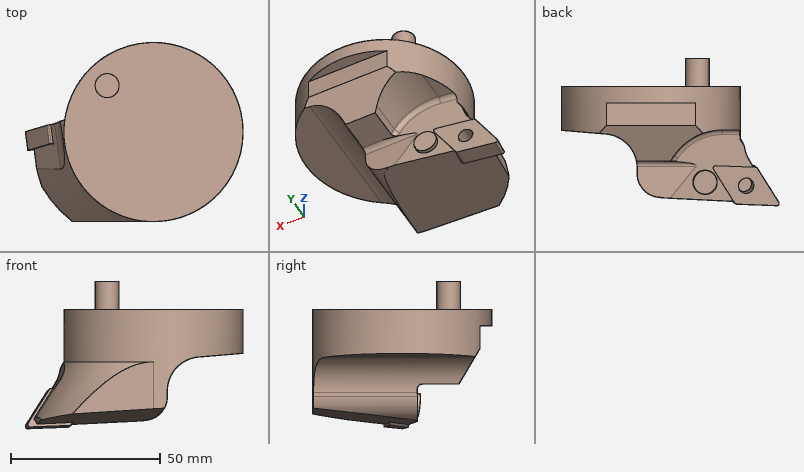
import cadquery as cq
import math

flange_diameter = 60.0
flange_radius = flange_diameter / 2
flange_depth = 17.55
overall_height = 49.3
lowest_point = 39.9
margin = 14.6

pin_diameter = 8.0
pin_height = overall_height - lowest_point
pin_offset = 15.5

skirt_depth = 43.7
skirt_taper = 0.6

overhang_depth = 15.95
overhang_start = 15.3
overhang_slope = 0.084
stem_side = 4.7
inside_arc_end = -27.8
outside_arc_end = -29.15
outside_arc_radius = 8.0

bottom_depth = 33.2
bottom_slope_x = 0.0645
bottom_slope_y = -0.109

corner = (-43.6, -0.1, -40.0)
rake_slope_x = 0.13
rake_slope_z = 0.105

pocket_roof = 14.6
pocket_slope_top = 23.2
pocket_floor = 25.0
pocket_roof_end = -24.05
pocket_roof_radius = 19.7
pocket_fillet = 1.75
stem_back_y = 5.0

back_step_y = 26.0
back_step_depth = 5.55
back_chamfer_start = 13.1
back_chamfer_end_y = 18.95

insert_angle = 55.0
insert_inscribed_diameter = 12.7
insert_side = insert_inscribed_diameter / math.sin(math.radians(insert_angle))
insert_thickness = 6.35
insert_nose_radius = 0.8
insert_hole_diameter = 5.2
insert_lean = 2.2

flank_offset = 0.9
flank_length = 18.6
flank_blend_radius = 13.1
flank_blend_sweep = 90.0
flank_width = 43.7
nose_relief_distance = 3.85

button_diameter = 8.0
button_height = 1.4
button_x = -18.0
button_z = -32.0


def rake_y(x, z):
    """Y of the rake face at a given X and Z."""
    return corner[1] + rake_slope_x * (x - corner[0]) + rake_slope_z * (z - corner[2])


def rake_plane(x, z):
    """Plane on the rake face, local X along +X, local Y roughly up, normal into the head."""
    return cq.Plane(
        origin=(x, rake_y(x, z), z),
        xDir=(1, rake_slope_x, 0),
        normal=(rake_slope_x, -1, rake_slope_z),
    )


def polar(length, degrees):
    """Point at a length and angle from the local origin."""
    angle = math.radians(degrees)
    return (length * math.cos(angle), length * math.sin(angle))


def blank():
    """Flange and flared skirt, with a front flat on -X and a straight cylinder on +X."""
    full_depth = flange_depth + skirt_depth
    cylinder = cq.Workplane("XY").circle(flange_radius).extrude(-full_depth)
    bottom_radius = flange_radius + skirt_taper * skirt_depth
    skirt = (
        cq.Workplane("XZ")
        .polyline([
            (0, -flange_depth),
            (flange_radius, -flange_depth),
            (bottom_radius, -full_depth),
            (0, -full_depth),
        ])
        .close()
        .revolve(360, (0, 0), (0, 1))
    )
    flat_limit = cq.Workplane("XY").box(
        bottom_radius, flange_radius + bottom_radius, full_depth, centered=False
    ).translate((-bottom_radius, -flange_radius, -full_depth))
    return cylinder.union(skirt.intersect(flat_limit))


def side_profile():
    """Extent of the head seen along Y."""
    left = -flange_radius - skirt_taper * skirt_depth
    right = flange_radius + margin
    bottom = -bottom_depth - margin
    arc_cos = math.cos(math.radians(45))
    inside_rise = -overhang_depth - inside_arc_end
    inside_run = overhang_start - stem_side
    outside_centre_x = stem_side - outside_arc_radius
    return (
        cq.Workplane("XZ")
        .moveTo(left, 0)
        .lineTo(right, 0)
        .lineTo(right, -overhang_depth + overhang_slope * (right - overhang_start))
        .lineTo(overhang_start, -overhang_depth)
        .threePointArc(
            (overhang_start - inside_run * arc_cos, inside_arc_end + inside_rise * arc_cos),
            (stem_side, inside_arc_end),
        )
        .lineTo(stem_side, outside_arc_end)
        .threePointArc(
            (outside_centre_x + outside_arc_radius * arc_cos,
             outside_arc_end - outside_arc_radius * arc_cos),
            (outside_centre_x, outside_arc_end - outside_arc_radius),
        )
        .lineTo(outside_centre_x, bottom)
        .lineTo(left, bottom)
        .close()
        .extrude(flange_diameter, both=True)
    )


def below_bottom():
    """Everything under the tilted bottom face."""
    plane = cq.Plane(
        origin=(0, -flange_radius, -bottom_depth),
        xDir=(1, 0, bottom_slope_x),
        normal=(bottom_slope_x, bottom_slope_y, -1),
    )
    size = 4 * flange_diameter
    return cq.Workplane(plane).rect(size, size).extrude(flange_diameter)


def back_pocket():
    """Clearance behind the rake face, with a rounded roof and a fillet along the rake face."""
    drop = pocket_slope_top - pocket_roof
    sweep = math.acos(1 - drop / pocket_roof_radius)
    slope_x = pocket_roof_end + pocket_roof_radius * math.sin(sweep)
    floor_x = slope_x + (pocket_floor - pocket_slope_top) / math.tan(sweep)
    arc_middle = (
        pocket_roof_end + pocket_roof_radius * math.sin(sweep / 2),
        -pocket_roof - pocket_roof_radius * (1 - math.cos(sweep / 2)),
    )
    left = -flange_diameter
    bottom = -flange_depth - skirt_depth
    profile = (
        cq.Workplane("XZ", origin=(0, -flange_diameter, 0))
        .moveTo(left, -pocket_roof)
        .lineTo(pocket_roof_end, -pocket_roof)
        .threePointArc(arc_middle, (slope_x, -pocket_slope_top))
        .lineTo(floor_x, -pocket_floor)
        .lineTo(flange_diameter, -pocket_floor)
        .lineTo(flange_diameter, bottom)
        .lineTo(left, bottom)
        .close()
        .extrude(-2 * flange_diameter)
    )
    size = 4 * flange_diameter
    head_side = (
        cq.Workplane(rake_plane(corner[0], corner[2])).rect(size, size).extrude(size)
    )
    pocket = profile.cut(head_side)
    roof_edges = cq.selectors.BoxSelector(
        (left, -margin, -pocket_slope_top),
        (slope_x, margin, 0),
    )
    return pocket.edges("not |Y").edges(roof_edges).fillet(pocket_fillet)


def stem_back():
    """Everything behind the stem and under the pocket floor, rounded where the two meet."""
    length = 2 * flange_diameter
    return (
        cq.Workplane("XY")
        .box(length, length, skirt_depth, centered=(True, False, False))
        .translate((0, stem_back_y, -pocket_floor - skirt_depth))
        .edges("<Y and >Z")
        .fillet(pocket_fillet)
    )


def back_relief():
    """Step and slanted face at the back, running along X."""
    slope = (back_step_y - back_chamfer_end_y) / (pocket_floor - back_chamfer_start)
    bottom = flange_depth + skirt_depth
    bottom_y = back_step_y - slope * (bottom - back_chamfer_start)
    outer_y = flange_radius + margin
    return (
        cq.Workplane("YZ")
        .polyline([
            (outer_y, -back_step_depth),
            (back_step_y, -back_step_depth),
            (back_step_y, -back_chamfer_start),
            (bottom_y, -bottom),
            (outer_y, -bottom),
        ])
        .close()
        .extrude(flange_diameter, both=True)
    )


def relief_flank():
    """Clearance beside the insert: a flat parallel to its side and a concave blend above."""
    side_angle = insert_lean + insert_angle
    frame = rake_plane(corner[0], corner[2]).rotated((0, 0, side_angle))
    blend_angle = math.radians(flank_blend_sweep / 2)
    blend_mid = (
        flank_length + flank_blend_radius * math.sin(blend_angle),
        -flank_offset + flank_blend_radius * (1 - math.cos(blend_angle)),
    )
    blend_end = (flank_length + flank_blend_radius, flank_blend_radius - flank_offset)
    return (
        cq.Workplane(frame)
        .moveTo(-margin, -flank_offset)
        .lineTo(flank_length, -flank_offset)
        .threePointArc(blend_mid, blend_end)
        .lineTo(-margin, flank_blend_radius - flank_offset)
        .close()
        .extrude(flank_width / 2, both=True)
    )


def nose_relief():
    """Clearance behind the insert nose, square to the bisector of its corner."""
    bisector = insert_lean + insert_angle / 2
    frame = rake_plane(corner[0], corner[2]).rotated((0, 0, bisector))
    return (
        cq.Workplane(frame)
        .center(nose_relief_distance - margin / 2, 0)
        .rect(margin, margin)
        .extrude(flank_width / 2, both=True)
    )


def insert_outline():
    """Solid rhombus with rounded corners, without its hole."""
    lower = polar(insert_side, insert_lean)
    upper = polar(insert_side, insert_lean + insert_angle)
    far = (lower[0] + upper[0], lower[1] + upper[1])
    return (
        cq.Workplane(rake_plane(corner[0], corner[2]))
        .polyline([(0, 0), lower, far, upper])
        .close()
        .extrude(insert_thickness)
        .edges(cq.selectors.ParallelDirSelector(cq.Vector(rake_slope_x, -1, rake_slope_z)))
        .fillet(insert_nose_radius)
    )


def make_insert():
    """Rhombic cutting insert with a central through hole."""
    half_diagonal = insert_side * math.cos(math.radians(insert_angle / 2))
    centre = polar(half_diagonal, insert_lean + insert_angle / 2)
    hole = (
        cq.Workplane(rake_plane(corner[0], corner[2]))
        .center(*centre)
        .circle(insert_hole_diameter / 2)
        .extrude(insert_thickness)
    )
    return insert_outline().cut(hole)


def make_head():
    """Cutter head with its drive pin, clamp button and insert seat."""
    pin = (
        cq.Workplane("XY")
        .center(-pin_offset, pin_offset)
        .circle(pin_diameter / 2)
        .extrude(pin_height)
    )
    button = (
        cq.Workplane(rake_plane(button_x, button_z))
        .circle(button_diameter / 2)
        .extrude(-button_height)
    )
    return (
        blank()
        .intersect(side_profile())
        .cut(below_bottom())
        .cut(back_pocket())
        .cut(stem_back())
        .cut(back_relief())
        .cut(relief_flank())
        .cut(nose_relief())
        .cut(insert_outline())
        .union(pin)
        .union(button)
    )


head = make_head()
cutting_insert = make_insert()

result = cq.Compound.makeCompound([head.val(), cutting_insert.val()])